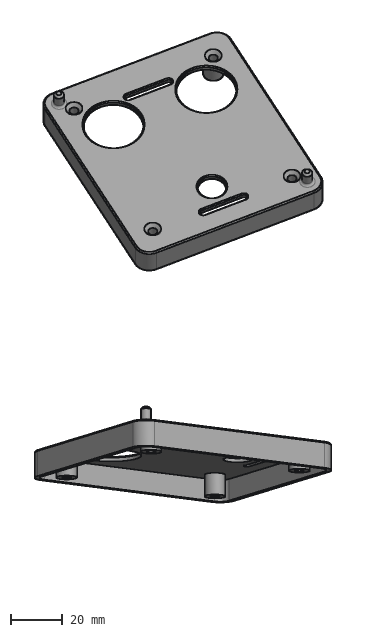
import cadquery as cq

length = 90.0
width = 80.0
total_height = 16.4
body_height = 10.4
corner_radius = 6.0
wall_thickness = 2.0
plate_thickness = 2.0
rim_chamfer = 0.6

pin_diameter = 4.0
pin_tip_chamfer = 1.0
pin_root_fillet = 1.0
pin_x = 39.0
pin_y = 34.0

boss_diameter = 8.0
screw_diameter = 3.5
countersink_diameter = 6.5
countersink_angle = 90
screw_x = 34.0
screw_y = 30.0

opening_chamfer = 0.5
large_hole_diameter = 23.0
large_hole_x = -20.0
large_hole_y = 20.0
small_hole_diameter = 11.0
small_hole_x = 25.0
slot_length = 20.0
slot_width = 2.5
slot_positions_x = (-30.0, 35.0)


def make_body():
    block = cq.Workplane("XY").box(length, width, body_height, centered=(True, True, False))
    block = block.edges("|Z").fillet(corner_radius)
    block = block.faces(">Z").edges().chamfer(rim_chamfer)
    cavity = cq.Workplane("XY").box(
        length - 2 * wall_thickness,
        width - 2 * wall_thickness,
        body_height - plate_thickness,
        centered=(True, True, False),
    )
    cavity = cavity.edges("|Z").fillet(corner_radius - wall_thickness)
    return block.cut(cavity)


def make_opening(outline):
    """Cutter for an opening through the plate, flared at 45 degrees at its top."""
    through = outline.extrude(body_height)
    flare = outline.toPending().extrude(opening_chamfer, taper=-45)
    return through.union(flare.translate((0, 0, body_height - opening_chamfer)))


def make_pin(x, y):
    """Profile turned about the pin axis: flared root, straight shank, chamfered tip."""
    radius = pin_diameter / 2
    pin_height = total_height - body_height
    root_overlap = plate_thickness / 2
    root_radius = radius + pin_root_fillet
    arc_offset = pin_root_fillet * (1 - 0.5**0.5)
    profile = (
        cq.Workplane("XZ")
        .moveTo(0, -root_overlap)
        .lineTo(radius, -root_overlap)
        .lineTo(radius, 0)
        .lineTo(root_radius, 0)
        .threePointArc((radius + arc_offset, arc_offset), (radius, pin_root_fillet))
        .lineTo(radius, pin_height - pin_tip_chamfer)
        .lineTo(radius - pin_tip_chamfer, pin_height)
        .lineTo(0, pin_height)
        .close()
    )
    return profile.revolve(360, (0, 0, 0), (0, 1, 0)).translate((x, y, body_height))


result = make_body()

bosses = (
    cq.Workplane("XY")
    .rect(2 * screw_x, 2 * screw_y, forConstruction=True)
    .vertices()
    .circle(boss_diameter / 2)
    .extrude(body_height - plate_thickness / 2)
)
result = result.union(bosses)

for side in (-1, 1):
    large_hole = cq.Workplane("XY").center(large_hole_x, side * large_hole_y)
    result = result.cut(make_opening(large_hole.circle(large_hole_diameter / 2)))

small_hole = cq.Workplane("XY").center(small_hole_x, 0)
result = result.cut(make_opening(small_hole.circle(small_hole_diameter / 2)))

for slot_x in slot_positions_x:
    slot = cq.Workplane("XY").center(slot_x, 0)
    result = result.cut(make_opening(slot.slot2D(slot_length, slot_width, 90)))

for side in (-1, 1):
    result = result.union(make_pin(side * pin_x, side * pin_y))

result = (
    result.copyWorkplane(cq.Workplane("XY", origin=(0, 0, body_height)))
    .rect(2 * screw_x, 2 * screw_y, forConstruction=True)
    .vertices()
    .cskHole(screw_diameter, countersink_diameter, countersink_angle)
)